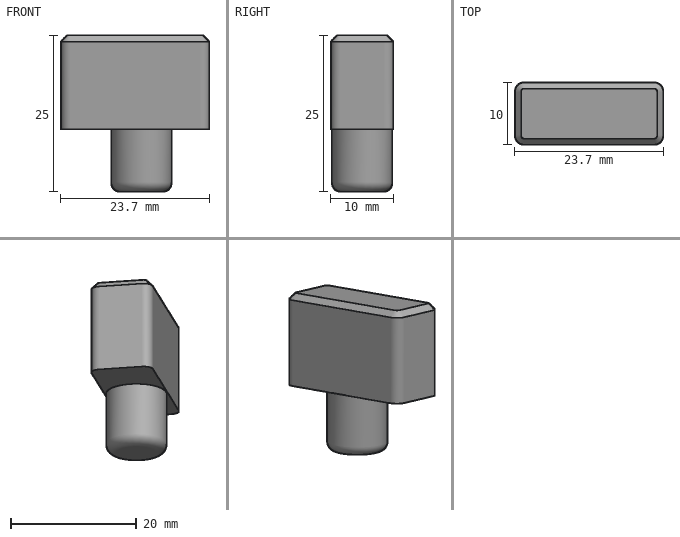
import cadquery as cq

head_length = 23.7
head_width = 10.0
head_height = 15.0
corner_radius = 1.5
top_chamfer = 1.0

pin_diameter = 9.7
pin_length = 10.0
pin_offset = 1.0
pin_end_radius = 1.5


def make_head():
    """Block standing on the XY plane, with rounded corners and a chamfered top rim."""
    block = cq.Workplane("XY").box(head_length, head_width, head_height, centered=(True, True, False))
    rounded = block.edges("|Z").fillet(corner_radius)
    return rounded.faces(">Z").edges().chamfer(top_chamfer)


def make_pin():
    """Cylinder hanging down from the XY plane, with a rounded lower end."""
    cylinder = cq.Workplane("XY").center(pin_offset, 0).circle(pin_diameter / 2).extrude(-pin_length)
    return cylinder.faces("<Z").edges().fillet(pin_end_radius)


result = make_head().union(make_pin())